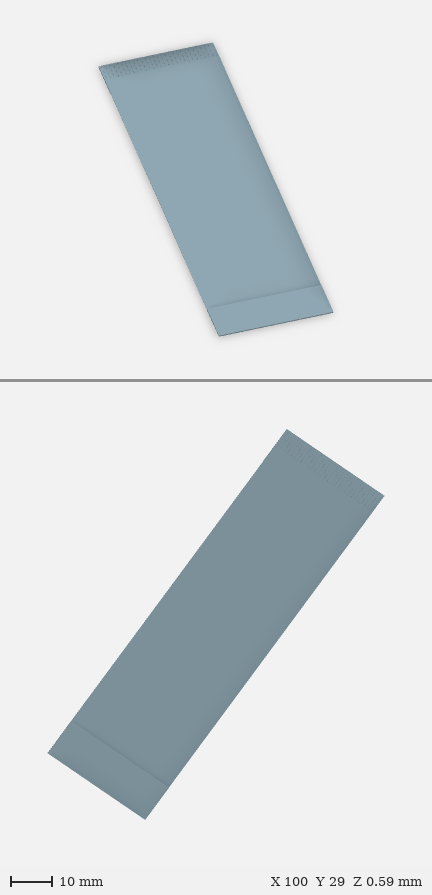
import cadquery as cq

length = 100.0
total_height = 0.59

conductor_count = 28
pitch = 1.0
conductor_width = 0.7
conductor_height = 0.05
width = (conductor_count + 1) * pitch

film_height = 0.045
exposed_length = 5.0

stiffener_length = 10.0
stiffener_height = (total_height - 2 * film_height - conductor_height) / 2

lower_film_bottom = stiffener_height
conductor_bottom = lower_film_bottom + film_height
upper_film_bottom = conductor_bottom + conductor_height
upper_stiffener_bottom = upper_film_bottom + film_height


def layer(x_start, x_end, z_bottom, height):
    """Full-width flat layer, centred on Y."""
    return (
        cq.Workplane("XY", origin=(x_start, 0, z_bottom))
        .box(x_end - x_start, width, height, centered=(False, True, False))
    )


def conductor_strips():
    """Parallel flat conductors running the full length."""
    return (
        cq.Workplane("XY", origin=(length / 2, 0, conductor_bottom))
        .rarray(1, pitch, 1, conductor_count)
        .box(length, conductor_width, conductor_height, centered=(True, True, False))
    )


lower_stiffener = layer(0, stiffener_length, 0, stiffener_height)
lower_film = layer(0, length - exposed_length, lower_film_bottom, film_height)
upper_film = layer(exposed_length, length, upper_film_bottom, film_height)
upper_stiffener = layer(length - stiffener_length, length, upper_stiffener_bottom, stiffener_height)

result = (
    lower_film.union(conductor_strips())
    .union(upper_film)
    .union(lower_stiffener)
    .union(upper_stiffener)
)